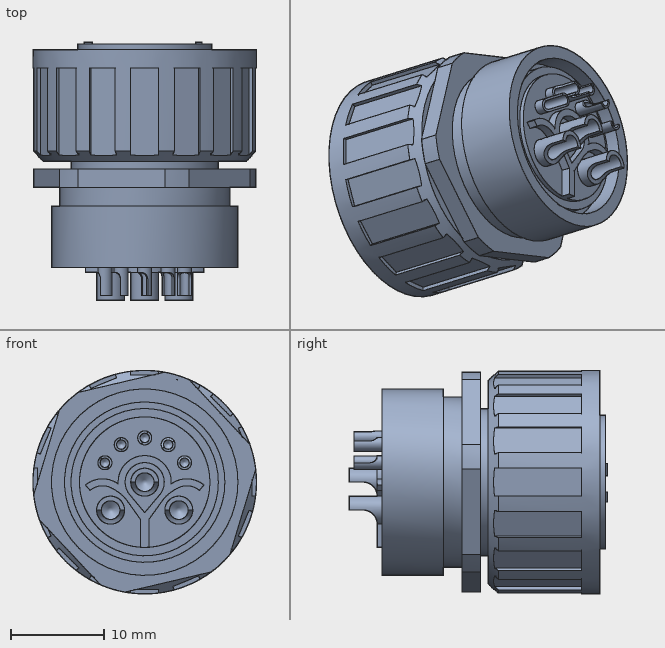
import cadquery as cq
import math


body_radius, body_length = 10.0, 6.6
neck_radius, neck_length = 9.15, 2.0
flange_radius, flange_length = 12.0, 2.0
flange_sides = 6
flange_across_flats = 22.0
flange_turn = 13.2
collar_radius, collar_length = 7.9, 0.8
nut_radius, nut_length = 12.0, 12.0
cap_radius, cap_length = 7.2, 0.6

neck_start = body_length
flange_start = neck_start + neck_length
collar_start = flange_start + flange_length
nut_start = collar_start + collar_length
nut_end = nut_start + nut_length
cap_end = nut_end + cap_length

nut_chamfer = 1.1
pocket_count = 16
pocket_width = 3.0
pocket_floor_radius = 11.5
nut_rim_length = 2.0

groove_z = -0.65
groove_width = 0.8
groove_depth = 0.2
pad_height = 0.2
index_pads = [(5.8, 1.35, 0.7, 1.35), (-6.05, -1.6, 0.9, 1.1)]

bore_radius = 8.6
bore_depth = 2.5
core_radius = 7.9
core_face_y = 1.0
insert_radius = 7.0
insert_face_y = 0.5

isolator_front_y = -0.5
wall_inner_radius = 2.1
wall_outer_radius = 2.85
arm_center = (-4.52, -2.49)
wall_slope = math.radians(40)
arm_bend_angle = math.radians(65)
arm_shoulder = (-1.99, -1.85)
stem_width = 0.9
stem_top_z = -4.0

cup_floor_y = -0.5
bore_end_y = 1.0
drill_point_angle = 118.0

power_radius = 1.5
power_bore_radius = 1.0
power_tip_y = -3.5
power_cut_fillet = 1.5
power_positions = [(0.0, 0.0), (-3.66, -3.0), (3.66, -3.0)]
power_opening_angle = 270.0

signal_radius = 0.75
signal_bore_radius = 0.5
signal_tip_y = -3.0
signal_cut_fillet = 0.75
signal_count = 5
signal_pitch_radius = 4.75
signal_pitch_angle = 32.0
signal_opening_offset = 64.0


def plane_at(y):
    """Workplane at a Y station: local x is X, local y is Z, extruding toward -Y."""
    return cq.Workplane("XZ", origin=(0, y, 0))


def disc(radius, y_front, y_rear):
    return plane_at(y_rear).circle(radius).extrude(y_rear - y_front)


def polar(radius, angle, center=(0.0, 0.0)):
    """Point in the X-Z plane; the angle is in radians from +X toward +Z."""
    return (center[0] + radius * math.cos(angle), center[1] + radius * math.sin(angle))


def hex_flange():
    """Hexagon whose corners are rounded by the flange circle."""
    corner_diameter = flange_across_flats / math.cos(math.pi / flange_sides)
    hexagon = plane_at(collar_start).polygon(flange_sides, corner_diameter).extrude(flange_length)
    hexagon = hexagon.rotate((0, 0, 0), (0, 1, 0), -flange_turn)
    return hexagon.intersect(disc(flange_radius, flange_start, collar_start))


def coupling_nut():
    """Chamfered ring with flat-floored grip pockets that run out at the front end."""
    nut = disc(nut_radius, nut_start, nut_end).faces("<Y").chamfer(nut_chamfer)
    pocket_length = nut_length - nut_rim_length
    pocket_depth = 2 * (nut_radius - pocket_floor_radius)
    pocket = cq.Workplane("XY").box(
        pocket_width, pocket_length, pocket_depth, centered=(True, False, False)
    ).translate((0, nut_start, pocket_floor_radius))
    for index in range(pocket_count):
        nut = nut.cut(pocket.rotate((0, 0, 0), (0, 1, 0), index * 360 / pocket_count))
    return nut


def rear_cap():
    """Plain disc with a V groove in its -X side and index pads on its rear face."""
    cap = disc(cap_radius, nut_end, cap_end)
    groove = (
        plane_at(cap_end)
        .moveTo(groove_depth - cap_radius, groove_z)
        .lineTo(-cap_radius, groove_z + groove_width / 2)
        .lineTo(-cap_radius, groove_z - groove_width / 2)
        .close()
        .extrude(cap_length)
    )
    cap = cap.cut(groove)
    for x, z, size_x, size_z in index_pads:
        pad = plane_at(cap_end + pad_height).center(x, z).rect(size_x, size_z).extrude(pad_height)
        cap = cap.union(pad)
    return cap


def front_recess():
    """Bore that leaves a shouldered core, with the contact insert standing on the core."""
    bore = disc(bore_radius, 0, bore_depth)
    bore = bore.cut(disc(core_radius, core_face_y, bore_depth))
    return bore.cut(disc(insert_radius, insert_face_y, core_face_y))


def isolator_half():
    """Left half of the wall: central arch, curved arm and half of the stem."""
    arm_distance = math.hypot(*arm_center)
    arm_direction = math.atan2(arm_center[1], arm_center[0])
    chord_angle = math.acos(arm_distance / 2 / wall_outer_radius)
    junction = polar(wall_outer_radius, arm_direction - chord_angle)
    junction_angle = math.atan2(junction[1], junction[0]) % (2 * math.pi)
    arch_middle = polar(wall_outer_radius, (math.pi / 2 + junction_angle) / 2)

    arm_end_angle = math.pi / 2 + wall_slope
    arm_top_angle = math.pi / 2
    bend_start = polar(wall_inner_radius, arm_bend_angle, arm_center)
    return (
        plane_at(insert_face_y)
        .moveTo(0, wall_outer_radius)
        .threePointArc(arch_middle, junction)
        .threePointArc(
            polar(wall_outer_radius, arm_top_angle, arm_center),
            polar(wall_outer_radius, arm_end_angle, arm_center),
        )
        .lineTo(*polar(wall_inner_radius, arm_end_angle, arm_center))
        .threePointArc(polar(wall_inner_radius, arm_top_angle, arm_center), bend_start)
        .tangentArcPoint(arm_shoulder, relative=False)
        .lineTo(-stem_width / 2, stem_top_z)
        .lineTo(-stem_width / 2, -insert_radius)
        .lineTo(0, -insert_radius)
        .close()
        .extrude(insert_face_y - isolator_front_y)
    )


def isolator():
    """Symmetric wall with a teardrop opening around the central contact."""
    half = isolator_half()
    wall = half.union(half.mirror("YZ"))
    side = polar(wall_inner_radius, wall_slope)
    tangent_right = (side[0], -side[1])
    tangent_left = (-side[0], -side[1])
    teardrop = (
        plane_at(insert_face_y)
        .moveTo(*tangent_right)
        .threePointArc((0, wall_inner_radius), tangent_left)
        .lineTo(0, -wall_inner_radius / math.sin(wall_slope))
        .close()
        .extrude(insert_face_y - isolator_front_y)
    )
    return wall.cut(teardrop).intersect(disc(insert_radius, isolator_front_y, insert_face_y))


def cup_bore(radius, tip_y):
    """Drilled hole with a conical bottom, on the Y axis."""
    point_length = radius / math.tan(math.radians(drill_point_angle / 2))
    point = cq.Solid.makeCone(
        radius, 0, point_length, cq.Vector(0, bore_end_y, 0), cq.Vector(0, 1, 0)
    )
    return disc(radius, tip_y, bore_end_y).union(cq.Workplane(obj=point))


def cup_opening(radius, tip_y, fillet):
    """Block that opens the +X side of a cup, with a rounded run-out at its root."""
    block = cq.Workplane("XY").box(
        2 * radius, cup_floor_y - tip_y, 4 * radius, centered=(False, False, True)
    ).translate((0, tip_y, 0))
    return block.edges("<X and >Y").fillet(fillet)


def place(shape, position, angle=0.0):
    turned = shape.rotate((0, 0, 0), (0, 1, 0), -angle)
    return turned.translate((position[0], 0, position[1]))


def add_cups(part, radius, hole_radius, tip_y, fillet, placements):
    """Add a solder cup at each (position, opening angle in degrees)."""
    bore = cup_bore(hole_radius, tip_y)
    pin = disc(radius, tip_y, core_face_y).cut(cup_opening(radius, tip_y, fillet))
    for position, opening_angle in placements:
        part = part.union(place(pin, position, opening_angle))
        part = part.cut(place(bore, position))
    return part


def signal_placements():
    placements = []
    for index in range(signal_count):
        from_top = (index - (signal_count - 1) / 2) * signal_pitch_angle
        angle = 90.0 + from_top
        position = polar(signal_pitch_radius, math.radians(angle))
        placements.append((position, angle + signal_opening_offset))
    return placements


shell = disc(body_radius, 0, body_length)
shell = shell.union(disc(neck_radius, neck_start, flange_start))
shell = shell.union(hex_flange())
shell = shell.union(disc(collar_radius, collar_start, nut_start))
shell = shell.union(coupling_nut())
shell = shell.union(rear_cap())
shell = shell.cut(front_recess())
shell = shell.union(isolator())

power_placements = [(position, power_opening_angle) for position in power_positions]
shell = add_cups(
    shell, power_radius, power_bore_radius, power_tip_y, power_cut_fillet, power_placements
)
result = add_cups(
    shell, signal_radius, signal_bore_radius, signal_tip_y, signal_cut_fillet, signal_placements()
)